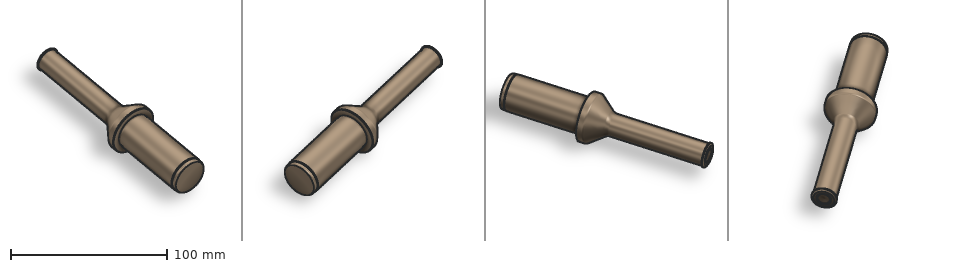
import cadquery as cq
import math

total_length = 142.0
bead_bevel_end = 0.5
bead_crest_start = 0.9
bead_crest_end = 1.5
stem_end = 67.2
cone_start = 70.5
cone_end = 80.4
collar_start = 82.0
collar_end = 86.2
relief_end = 88.0
shank_end = 138.3
cap_edge = 140.7

tip_radius = 6.8
bead_bevel_radius = 7.8
bead_radius = 8.4
stem_radius = 15.5 / 2
cone_start_radius = 8.8
cone_end_radius = 16.3
collar_radius = 34.0 / 2
relief_radius = 24.5 / 2
shank_radius = 25.0 / 2
cap_radius = relief_radius
seam_radius = 12.0

collar_chamfer = 0.4
relief_ramp = 1.0
shank_chamfer = 0.4
cap_chamfer = 0.3
cap_end_inset = 0.5

recess_radius = 5.0
recess_floor_radius = 4.1
recess_depth = 0.3
centre_radius = 3.0
centre_angle = 76.0

AXIS_START = (0, 0, 0)
AXIS_END = (1, 0, 0)


def revolve_about_x(profile):
    """Turn a closed half profile in the XY plane about the X axis."""
    return profile.close().revolve(360, AXIS_START, AXIS_END)


def tangent_arc_middle(tangent_point, far_point):
    """Middle of the arc that leaves tangent_point parallel to X and ends at far_point."""
    run = far_point[0] - tangent_point[0]
    rise = far_point[1] - tangent_point[1]
    radius = (run**2 + rise**2) / (2 * rise)
    half_angle = math.atan2(abs(rise), abs(run))
    x = tangent_point[0] + math.copysign(radius * math.sin(half_angle), run)
    y = tangent_point[1] + radius * (1 - math.cos(half_angle))
    return (x, y)


def make_spindle():
    """Beaded stem, flared collar and shank turned as one solid."""
    centre_depth = recess_depth + centre_radius / math.tan(math.radians(centre_angle))

    stem_root = (stem_end, stem_radius)
    cone_foot = (cone_start, cone_start_radius)
    cone_top = (cone_end, cone_end_radius)
    collar_edge = (collar_start, collar_radius)

    profile = (
        cq.Workplane("XY")
        .moveTo(centre_depth, 0)
        .lineTo(recess_depth, centre_radius)
        .lineTo(recess_depth, recess_floor_radius)
        .lineTo(0, recess_radius)
        .lineTo(0, tip_radius)
        .lineTo(bead_bevel_end, bead_bevel_radius)
        .lineTo(bead_crest_start, bead_radius)
        .lineTo(bead_crest_end, bead_radius)
        .lineTo(bead_crest_end, stem_radius)
        .lineTo(*stem_root)
        .threePointArc(tangent_arc_middle(stem_root, cone_foot), cone_foot)
        .lineTo(*cone_top)
        .threePointArc(tangent_arc_middle(collar_edge, cone_top), collar_edge)
        .lineTo(collar_end - collar_chamfer, collar_radius)
        .lineTo(collar_end, collar_radius - collar_chamfer)
        .lineTo(collar_end, relief_radius)
        .lineTo(relief_end - relief_ramp, relief_radius)
        .lineTo(relief_end, shank_radius)
        .lineTo(shank_end, shank_radius)
        .lineTo(shank_end + shank_chamfer, seam_radius)
        .lineTo(shank_end + shank_chamfer, 0)
    )
    return revolve_about_x(profile)


def make_end_cap():
    """Disc with a rounded outer rim, seated on the end of the shank."""
    cap_start = shank_end + shank_chamfer
    rim_edge = (cap_edge, cap_radius)
    rim_end = (total_length, cap_radius - cap_end_inset)
    profile = (
        cq.Workplane("XY")
        .moveTo(cap_start, 0)
        .lineTo(cap_start, seam_radius)
        .lineTo(cap_start + cap_chamfer, cap_radius)
        .lineTo(*rim_edge)
        .threePointArc(tangent_arc_middle(rim_edge, rim_end), rim_end)
        .lineTo(total_length, 0)
    )
    return revolve_about_x(profile)


spindle = make_spindle()
end_cap = make_end_cap()

result = cq.Compound.makeCompound([spindle.val(), end_cap.val()])